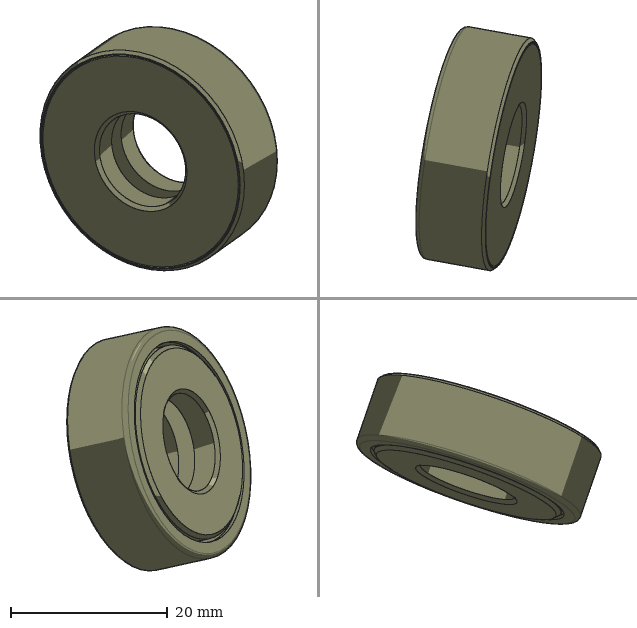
import cadquery as cq


total_depth = 9.53
boss_height = 0.35
housing_depth = total_depth - boss_height
washer_thickness = 3.55

housing_diameter = 30.15
housing_bore = 29.13
rear_opening = 26.1
shaft_bore = 12.7
front_washer_diameter = 28.8
rear_washer_diameter = 25.2

housing_fillet = 0.57
housing_chamfer = 0.4
washer_chamfer = 0.48
wall_thickness = (housing_diameter - housing_bore) / 2


def cylinder(diameter, start, end):
    """Solid cylinder on the Y axis between two Y positions."""
    return cq.Workplane("XZ").workplane(offset=-start).circle(diameter / 2).extrude(start - end)


def make_housing():
    """Thin cup, open at the front, with an inward lip at the rear."""
    cup = cylinder(housing_diameter, 0, housing_depth)
    cup = cup.faces(">Y").edges().fillet(housing_fillet)
    cup = cup.faces("<Y").edges().chamfer(housing_chamfer)
    cup = cup.cut(cylinder(housing_bore, 0, housing_depth - wall_thickness))
    return cup.cut(cylinder(rear_opening, 0, housing_depth))


def make_washer(diameter, start, end):
    """Flat ring with the shaft bore through it."""
    return cylinder(diameter, start, end).cut(cylinder(shaft_bore, start, end))


def make_front_washer():
    """Large washer filling the front opening, with a chamfered bore."""
    washer = make_washer(front_washer_diameter, 0, washer_thickness)
    bore_edge = washer.faces("<Y").edges(cq.selectors.RadiusNthSelector(0))
    return bore_edge.chamfer(washer_chamfer)


def make_rear_washer():
    """Smaller washer standing out at the rear, with its outer and bore edges chamfered."""
    washer = make_washer(rear_washer_diameter, total_depth - washer_thickness, total_depth)
    return washer.faces(">Y").edges().chamfer(washer_chamfer)


housing = make_housing()
front_washer = make_front_washer()
rear_washer = make_rear_washer()

result = cq.Compound.makeCompound([housing.val(), front_washer.val(), rear_washer.val()])